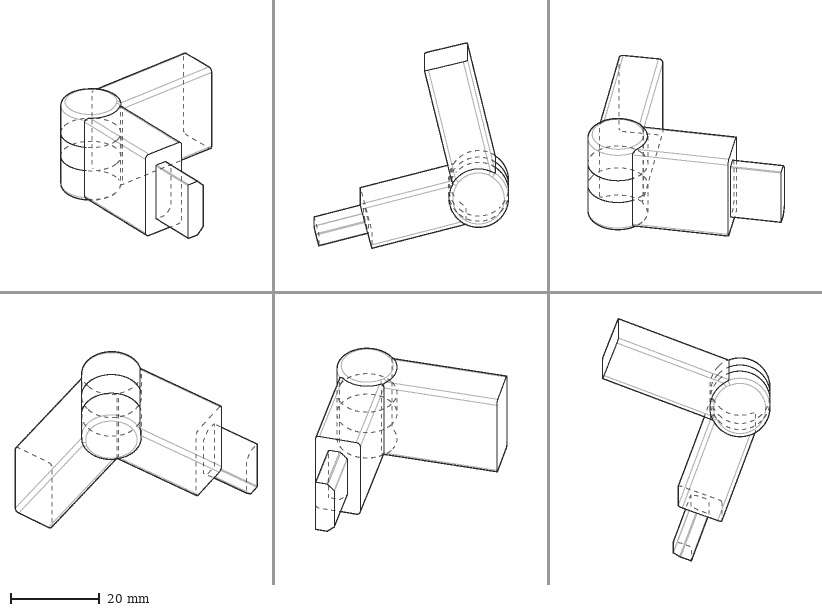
import cadquery as cq

hinge_radius = 6.75
hinge_height = 22.0
middle_knuckle_height = 6.0
edge_radius = 1.0

arm_height = 21.0
plug_arm_width = 10.45
plug_arm_length = 26.15
socket_arm_width = 10.0
socket_arm_length = 31.25
socket_arm_angle = 91

plug_tip = 37.75
plug_height = 13.9
plug_thickness = 4.4
plug_straight = 2.75
plug_taper = plug_thickness - plug_straight
plug_corner_radius = 0.2
plug_bend_radius = 0.35


def cylinder(height):
    """Hinge-sized cylinder centred on the origin."""
    return cq.Workplane("XY").circle(hinge_radius).extrude(height / 2, both=True)


def arm(length, width):
    """Bar along +X from the hinge axis, with its four long edges rounded."""
    bar = cq.Workplane("XY").box(length, width, arm_height, centered=(False, True, True))
    return bar.edges("|X").fillet(edge_radius)


def plug():
    """Connector running out of the end of the plug arm."""
    flat_y = -plug_thickness / 2
    bend_y = flat_y + plug_straight
    tip_y = plug_thickness / 2
    full_z = plug_height / 2
    tip_z = full_z - plug_taper
    outline = (
        cq.Workplane("YZ", origin=(plug_arm_length, 0, 0))
        .polyline([
            (flat_y, -full_z),
            (bend_y, -full_z),
            (tip_y, -tip_z),
            (tip_y, tip_z),
            (bend_y, full_z),
            (flat_y, full_z),
        ])
        .close()
    )
    body = outline.extrude(plug_tip - plug_arm_length)
    mid_taper_y = (bend_y + tip_y) / 2
    bends = cq.selectors.BoxSelector((0, 0, -plug_height), (plug_tip, mid_taper_y, plug_height))
    body = body.edges("|X").edges(bends).fillet(plug_bend_radius)
    return body.edges("|X").edges("<Y or >Y").fillet(plug_corner_radius)


def make_socket_arm():
    """Arm carrying the top and bottom knuckles."""
    bar = arm(socket_arm_length, socket_arm_width).rotate((0, 0, 0), (0, 0, 1), socket_arm_angle)
    body = bar.union(cylinder(hinge_height))
    body = body.faces("<Z or >Z").edges().fillet(edge_radius)
    return body.cut(cylinder(middle_knuckle_height))


def make_plug_arm(neighbour):
    """Arm carrying the middle knuckle and the plug, cut to fit against the neighbouring arm."""
    bar = arm(plug_arm_length, plug_arm_width)
    body = bar.union(cylinder(middle_knuckle_height)).union(plug())
    return body.cut(neighbour)


socket_arm = make_socket_arm()
plug_arm = make_plug_arm(socket_arm)

result = cq.Compound.makeCompound([socket_arm.val(), plug_arm.val()])